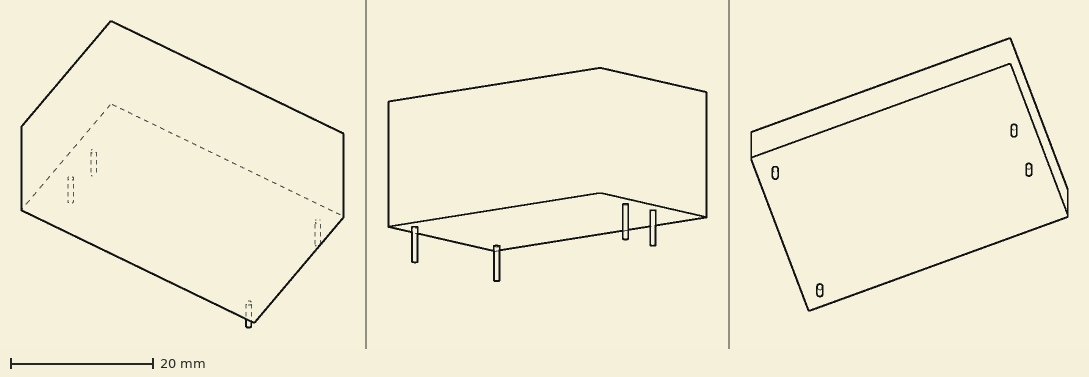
import cadquery as cq


case_length = 39.0
case_width = 23.5
case_height = 18.0
edge_radius = 0.25

pin_diameter = 0.8
pin_length = 5.0
pin_tip_radius = 0.15
row_spacing = 33.6
inner_pin_pitch = 6.0
outer_pin_pitch = 18.0


def make_case():
    """Box standing on Z = 0, rounded on its top and upright edges."""
    box = cq.Workplane("XY").box(case_length, case_width, case_height, centered=(True, True, False))
    return box.edges("|Z or >Z").fillet(edge_radius)


def make_pin_pair(row_x, pitch):
    """Two round pins with rounded tips, hanging below the case at equal distances from the X axis."""
    return (
        cq.Workplane("XY")
        .pushPoints([(row_x, -pitch / 2), (row_x, pitch / 2)])
        .circle(pin_diameter / 2)
        .extrude(-pin_length)
        .faces("<Z")
        .edges()
        .fillet(pin_tip_radius)
    )


inner_pins = make_pin_pair(-row_spacing / 2, inner_pin_pitch)
outer_pins = make_pin_pair(row_spacing / 2, outer_pin_pitch)
result = make_case().union(inner_pins).union(outer_pins)